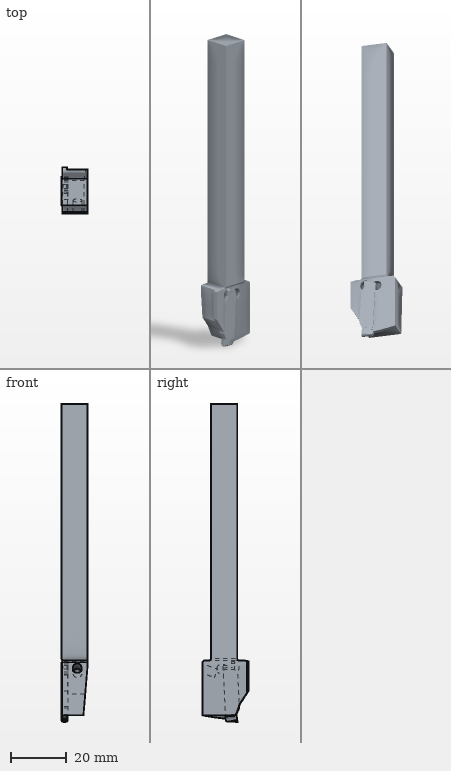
import cadquery as cq
import math


shank_width = 9.5
total_height = 114.5
back_fillet = 0.7
front_fillet = 0.5

head_top = 22.2
head_back = -3.1
head_front = 12.8
head_bottom = 2.4
head_bottom_y = 8.9
back_chamfer = 0.7
slope_start = 11.7
slope_end_height = 21.9
side_inset = 0.3
taper_top = 20.4
taper_end_x = 8.0

shank_bottom = head_top + back_fillet

blade_thickness = 1.7
blade_front = 13.6
blade_bottom = 1.1
blade_bottom_y = 5.3
blade_bow = 0.1
front_corner_height = 11.3
neck_y = 10.4
neck_height = 6.4

screw_radius = 1.6
screw_x = 5.7
screw_height = 19.4
screw_tilt = 20.0
screw_depth = 5.2

relief_radius = 1.8
relief_centers = [(8.2, 19.7), (3.9, 19.1)]

insert_width = 2 * side_inset + blade_thickness
insert_half_length = 11.0
insert_center_y = 7.3
insert_tilt = 3.0
insert_half_depth = 2.58
rake_y = 1.7
insert_center_z = (
    insert_half_length * math.cos(math.radians(insert_tilt))
    - rake_y * math.sin(math.radians(insert_tilt))
)
rake_root_y = 1.5
rake_root = 8.1
rake_ramp = 6.0
clearance_drop = 0.2
back_corner = 0.6
stop_heights = (9.6, 10.9)
stop_ramp_y = (-0.8, 0.8)
nose_drop = 0.8
land_y = 1.0
land_root = 8.8
land_relief = 0.17
deep_relief = 0.5


def place_insert(body):
    """Move a shape from the insert's own frame to its seat."""
    tilted = body.rotate((0, 0, 0), (1, 0, 0), insert_tilt)
    return tilted.translate((0, insert_center_y, insert_center_z))


def insert_blank():
    """Side outline of the insert, over its full width."""
    return (
        cq.Workplane("YZ")
        .moveTo(rake_y, -insert_half_length)
        .lineTo(rake_root_y, -rake_root)
        .lineTo(insert_half_depth, -rake_ramp)
        .lineTo(insert_half_depth, rake_ramp)
        .lineTo(rake_root_y, rake_root)
        .lineTo(rake_y, insert_half_length)
        .lineTo(stop_ramp_y[1], stop_heights[1])
        .lineTo(stop_ramp_y[0], stop_heights[0])
        .lineTo(-insert_half_depth, stop_heights[0])
        .lineTo(-insert_half_depth, -insert_half_length + clearance_drop + back_corner)
        .lineTo(-insert_half_depth + back_corner, -insert_half_length + clearance_drop)
        .close()
        .extrude(insert_width)
    )


def nose_envelope():
    """Prism with rounded ends that gives both cutting heads their nose."""
    shoulder = insert_half_length - nose_drop
    middle = insert_width / 2
    return (
        cq.Workplane("XZ")
        .moveTo(0, -shoulder)
        .threePointArc((middle, -insert_half_length), (insert_width, -shoulder))
        .lineTo(insert_width, shoulder)
        .threePointArc((middle, insert_half_length), (0, shoulder))
        .close()
        .extrude(insert_half_depth, both=True)
    )


def relief_wedge(end, side_x, inward, start_y, root, relief):
    """Wedge that thins one side of one cutting head, from start_y toward its back."""
    return (
        cq.Workplane("XY", origin=(0, 0, end * root))
        .moveTo(side_x, start_y)
        .lineTo(side_x, -insert_half_depth)
        .lineTo(side_x + inward * relief, -insert_half_depth)
        .close()
        .extrude(end * (insert_half_length - root))
    )


def make_insert():
    body = insert_blank().intersect(nose_envelope())
    for end in (-1, 1):
        for side_x, inward in ((0, 1), (insert_width, -1)):
            body = body.cut(relief_wedge(end, side_x, inward, rake_y, rake_root, land_relief))
            body = body.cut(relief_wedge(end, side_x, inward, land_y, land_root, deep_relief))
    return place_insert(body)


def insert_pocket():
    """Insert seat with the relief circles at its closed end."""
    pocket = place_insert(insert_blank())
    for center in relief_centers:
        pocket = pocket.union(
            cq.Workplane("YZ").center(*center).circle(relief_radius).extrude(insert_width)
        )
    return pocket


def make_shank():
    """Square bar whose foot narrows to the head side and flares at front and back."""
    bar = cq.Workplane("XY").box(
        shank_width, shank_width, total_height - shank_bottom, centered=False
    ).translate((0, 0, shank_bottom))
    foot = (
        cq.Workplane("YZ")
        .moveTo(-back_fillet, head_top)
        .radiusArc((0, shank_bottom), -back_fillet)
        .lineTo(shank_width, shank_bottom)
        .lineTo(shank_width, head_top + front_fillet)
        .radiusArc((shank_width + front_fillet, head_top), -front_fillet)
        .close()
        .extrude(shank_width)
    )
    side_bevel = (
        cq.Workplane("XZ")
        .moveTo(0, shank_bottom)
        .lineTo(side_inset, head_top)
        .lineTo(0, head_top)
        .close()
        .extrude(2 * shank_width, both=True)
    )
    return bar.union(foot.cut(side_bevel))


def head_outline(thickness, front_y, bottom_points):
    """Plate in the YZ plane with the outline that head and blade share.

    bottom_points lead from the neck to the bottom, the closing line to the back is straight.
    """
    front_slope = (neck_y - blade_front) / (neck_height - front_corner_height)
    top_slope = (slope_end_height - head_top) / (blade_front - slope_start)
    outline = [
        (head_back, head_bottom),
        (head_back, head_top - back_chamfer),
        (head_back + back_chamfer, head_top),
        (slope_start, head_top),
        (front_y, head_top + top_slope * (front_y - slope_start)),
        (front_y, neck_height + (front_y - neck_y) / front_slope),
        (neck_y, neck_height),
    ]
    return (
        cq.Workplane("YZ", origin=(side_inset, 0, 0))
        .polyline(outline + bottom_points)
        .close()
        .extrude(thickness)
    )


def make_blade():
    """Thin plate with a bowed lower edge that reaches below the head."""
    plate = head_outline(blade_thickness, blade_front, [(blade_bottom_y, blade_bottom)])
    bow_middle = (
        (blade_bottom_y + head_back) / 2,
        (blade_bottom + head_bottom) / 2 - blade_bow,
    )
    bow = (
        cq.Workplane("YZ", origin=(side_inset, 0, 0))
        .moveTo(blade_bottom_y, blade_bottom)
        .threePointArc(bow_middle, (head_back, head_bottom))
        .close()
        .extrude(blade_thickness)
    )
    return plate.union(bow)


def make_head():
    """Block behind the blade, tapered toward the bottom on its far side."""
    block = head_outline(shank_width - side_inset, head_front, [(head_bottom_y, head_bottom)])
    taper = (
        cq.Workplane("XZ")
        .moveTo(shank_width, taper_top)
        .lineTo(shank_width, head_bottom)
        .lineTo(taper_end_x, head_bottom)
        .close()
        .extrude(2 * blade_front, both=True)
    )
    return block.cut(taper)


def screw_hole():
    """Blind hole that enters the head back and slopes down toward the front."""
    tilt = math.radians(screw_tilt)
    direction = cq.Vector(0, math.cos(tilt), -math.sin(tilt))
    entry = cq.Vector(screw_x, head_back, screw_height)
    start = entry - direction * screw_radius
    return cq.Workplane(
        cq.Solid.makeCylinder(screw_radius, screw_depth + screw_radius, start, direction)
    )


def make_holder():
    body = make_shank().union(make_head()).union(make_blade())
    return body.cut(insert_pocket()).cut(screw_hole())


holder = make_holder()
insert = make_insert()

result = cq.Compound.makeCompound([holder.solids().val(), insert.solids().val()])